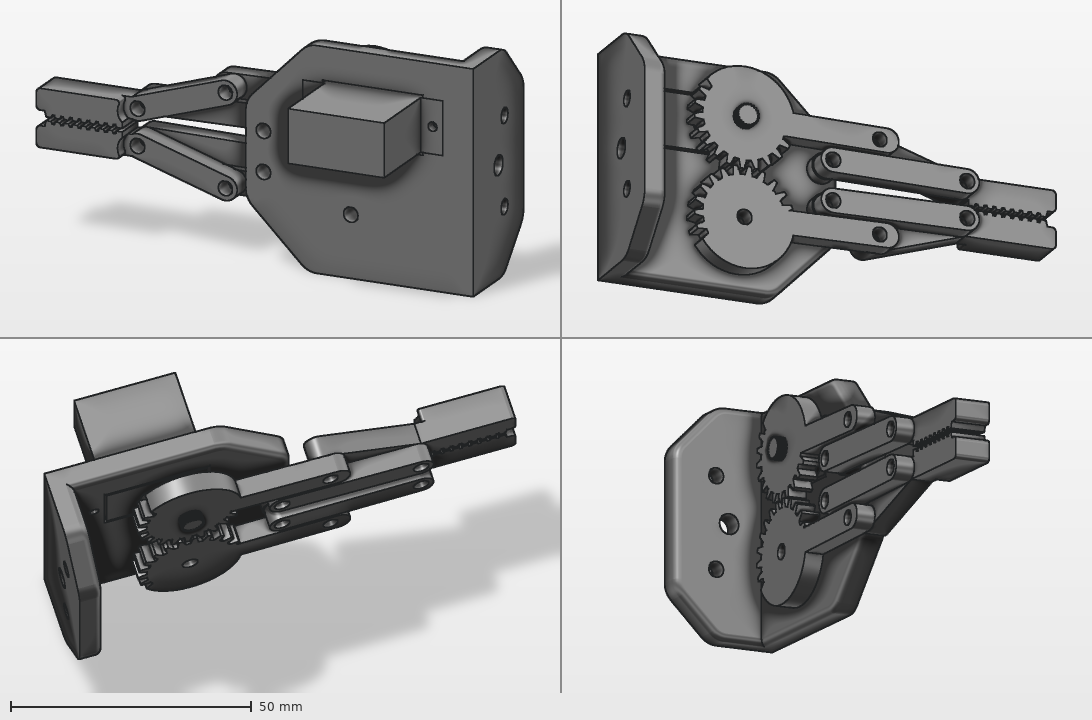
import cadquery as cq
import math

plate_thickness = 5.0
finger_arm_front = 3.0
link_front = 7.8
link_back = 12.0

gear_x, gear_z = 72.0, 11.0
link_base_x, link_base_z = 52.0, 4.5
jaw_pivot_x, jaw_pivot_z = 21.8, 4.1
arm_pivot_x, arm_pivot_z = 41.9, 10.5
gear_arm_hole_x = 41.5
gear_arm_end_x = 39.9
arm_radius = 2.7
pivot_hole_diameter = 3.3
arm_hole_diameter = 3.2

select_margin = 0.1

base_left, base_right = 48.0, 100.0
base_half_height = 25.0
wall_top = 25.0
wall_left = base_right - plate_thickness
plate_corner_cut = 14.2
wall_corner_cut = 10.0
base_corner_radius = 5.0
edge_round = 1.5
boss_diameter = 6.0
wall_hole_diameter = 3.4
wall_hole_y, wall_hole_z = 15.5, 10.0
wall_center_hole_diameter = 4.4
wall_center_hole_y = 12.5

servo_length, servo_height = 22.0, 12.0
servo_boss_radius = servo_height / 2
servo_x = gear_x - servo_boss_radius + servo_length / 2
servo_z = gear_z
servo_front = -18.0
flange_length, flange_thickness = 32.0, 2.5
flange_hole_diameter = 2.0
flange_hole_spacing = 27.4
slot_length, slot_height = 23.0, 13.2
side_boss_radius = 2.6
side_boss_offset = 6.0
shaft_end = 14.0
spline_tip_diameter = 4.9
spline_root_diameter = 4.4
spline_teeth = 21
spline_tip_fraction, spline_root_fraction = 0.15, 0.35

gear_tip_radius = 11.3
gear_root_radius = 9.4
gear_pitch = 360 / 22
tooth_tip_half_angle = 2.2
tooth_root_half_angle = 5.2
tooth_count = 12
servo_gear_first_tooth = 27.0

jaw_half_height = 2.4
jaw_top = jaw_pivot_z + jaw_half_height
jaw_bottom = jaw_pivot_z - jaw_half_height
jaw_corner_radius = 1.0
relief_corner_radius = 0.7
jaw_relief_radius = 3.2
jaw_back = jaw_pivot_x - math.sqrt(jaw_relief_radius**2 - jaw_half_height**2)
grip_front_top_x, grip_front_bottom_x = 1.9, 2.3
grip_bottom = 0.4
notch_depth = 0.6
notch_pitch = 2.0
notch_count = 8
first_notch_x = 3.9
notch_mouth_width, notch_floor_width = 1.0, 0.5


def at_y(y):
    """Workplane at depth y whose local axes are X and Z; a negative extrusion runs toward +Y."""
    return cq.Workplane(cq.Plane(origin=(0, y, 0), xDir=(1, 0, 0), normal=(0, -1, 0)))


def prism(points, y_start, y_end):
    return at_y(y_start).polyline(points).close().extrude(y_start - y_end)


def cylinder(x, z, diameter, y_start, y_end):
    return at_y(y_start).center(x, z).circle(diameter / 2).extrude(y_start - y_end)


def box(x_center, z_center, length, height, y_start, y_end):
    return at_y(y_start).center(x_center, z_center).rect(length, height).extrude(y_start - y_end)


def round_ended_bar(start, end, y_start, y_end):
    """Bar with full-round ends centred on two (x, z) points."""
    run, rise = end[0] - start[0], end[1] - start[1]
    middle = ((start[0] + end[0]) / 2, (start[1] + end[1]) / 2)
    return (
        at_y(y_start)
        .center(*middle)
        .transformed(rotate=(0, 0, math.degrees(math.atan2(rise, run))))
        .slot2D(math.hypot(run, rise) + 2 * arm_radius, 2 * arm_radius)
        .extrude(y_start - y_end)
    )


def polar(center, radius, degrees):
    angle = math.radians(degrees)
    return (center[0] + radius * math.cos(angle), center[1] + radius * math.sin(angle))


def mirror_down(body):
    return body.mirror("XY")


def make_base():
    h = base_half_height
    plate = prism(
        [
            (base_right, h),
            (base_left + plate_corner_cut, h),
            (base_left, h - plate_corner_cut),
            (base_left, plate_corner_cut - h),
            (base_left + plate_corner_cut, -h),
            (base_right, -h),
        ],
        0,
        plate_thickness,
    )
    plate = plate.edges("|Y and (not >X)").fillet(base_corner_radius)
    wall = (
        cq.Workplane("YZ", origin=(wall_left, 0, 0))
        .polyline(
            [
                (0, h),
                (wall_top - wall_corner_cut, h),
                (wall_top, h - wall_corner_cut),
                (wall_top, wall_corner_cut - h),
                (wall_top - wall_corner_cut, -h),
                (0, -h),
            ]
        )
        .close()
        .extrude(plate_thickness)
    )
    wall = wall.edges("|X and (not <Y)").fillet(base_corner_radius)
    base = plate.union(wall)

    m = select_margin
    inner_corner = cq.selectors.BoxSelector(
        (wall_left - m, plate_thickness - m, -m), (wall_left + m, plate_thickness + m, m)
    )
    plate_face = cq.selectors.BoxSelector(
        (base_left - m, plate_thickness - m, -h - m),
        (wall_left + m, plate_thickness + m, h + m),
        boundingbox=True,
    )
    wall_face = cq.selectors.BoxSelector(
        (wall_left - m, plate_thickness - m, -h - m),
        (wall_left + m, wall_top + m, h + m),
        boundingbox=True,
    )
    base = base.edges((plate_face + wall_face) - inner_corner).fillet(edge_round)

    for x, z in [(link_base_x, link_base_z), (link_base_x, -link_base_z), (gear_x, -gear_z)]:
        base = base.union(cylinder(x, z, boss_diameter, plate_thickness, link_front))
        base = base.cut(cylinder(x, z, pivot_hole_diameter, 0, link_front))

    base = base.cut(box(servo_x, servo_z, slot_length, slot_height, 0, plate_thickness))
    base = base.cut(box(servo_x, servo_z, flange_length, servo_height, 0, flange_thickness))
    for side in (-1, 1):
        hole_x = servo_x + side * flange_hole_spacing / 2
        base = base.cut(cylinder(hole_x, servo_z, flange_hole_diameter, 0, plate_thickness))

    wall_plane = cq.Workplane("YZ", origin=(wall_left, 0, 0))
    screw_places = [(wall_hole_y, wall_hole_z), (wall_hole_y, -wall_hole_z)]
    screw_holes = wall_plane.pushPoints(screw_places).circle(wall_hole_diameter / 2)
    base = base.cut(screw_holes.extrude(plate_thickness))
    center_hole = wall_plane.center(wall_center_hole_y, 0).circle(wall_center_hole_diameter / 2)
    return base.cut(center_hole.extrude(plate_thickness))


def spline_shaft():
    center = (gear_x, gear_z)
    step = 360 / spline_teeth
    points = []
    for index in range(spline_teeth):
        middle = index * step
        points.append(polar(center, spline_root_diameter / 2, middle - spline_root_fraction * step))
        points.append(polar(center, spline_tip_diameter / 2, middle - spline_tip_fraction * step))
        points.append(polar(center, spline_tip_diameter / 2, middle + spline_tip_fraction * step))
        points.append(polar(center, spline_root_diameter / 2, middle + spline_root_fraction * step))
    return prism(points, plate_thickness, shaft_end)


def make_servo():
    servo = box(servo_x, servo_z, servo_length, servo_height, servo_front, plate_thickness)
    flange = box(servo_x, servo_z, flange_length, servo_height, 0, flange_thickness)
    for side in (-1, 1):
        hole_x = servo_x + side * flange_hole_spacing / 2
        flange = flange.cut(cylinder(hole_x, servo_z, flange_hole_diameter, 0, flange_thickness))
    gearbox = cylinder(gear_x, gear_z, 2 * servo_boss_radius, plate_thickness, link_front)
    side_boss = cylinder(gear_x + side_boss_offset, gear_z, 2 * side_boss_radius, plate_thickness, link_front)
    return servo.union(flange).union(gearbox).union(side_boss).union(spline_shaft())


def make_gear_arm(first_tooth, bore_diameter):
    """Arm ending in a gear whose teeth run clockwise from the angle first_tooth."""
    center = (gear_x, gear_z)
    gear = cylinder(gear_x, gear_z, 2 * gear_root_radius, link_front, link_back)

    sector_end = first_tooth + gear_pitch - tooth_tip_half_angle
    sector_root_end = first_tooth + gear_pitch - tooth_root_half_angle
    sector = (
        at_y(link_front)
        .moveTo(*center)
        .lineTo(*polar(center, gear_root_radius, sector_root_end))
        .lineTo(*polar(center, gear_tip_radius, sector_end))
        .threePointArc(
            polar(center, gear_tip_radius, (sector_end + 180) / 2), polar(center, gear_tip_radius, 180)
        )
        .close()
        .extrude(link_front - link_back)
    )
    gear = gear.union(sector)

    for index in range(tooth_count):
        middle = first_tooth - index * gear_pitch
        tooth = [
            center,
            polar(center, gear_root_radius, middle - tooth_root_half_angle),
            polar(center, gear_tip_radius, middle - tooth_tip_half_angle),
            polar(center, gear_tip_radius, middle + tooth_tip_half_angle),
            polar(center, gear_root_radius, middle + tooth_root_half_angle),
        ]
        gear = gear.union(prism(tooth, link_front, link_back))

    arm = round_ended_bar((gear_arm_end_x, arm_pivot_z), center, link_front, link_back)
    gear = gear.union(arm)
    gear = gear.cut(cylinder(gear_x, gear_z, bore_diameter, link_front, link_back))
    return gear.cut(cylinder(gear_arm_hole_x, arm_pivot_z, arm_hole_diameter, link_front, link_back))


def make_link():
    ends = [(jaw_pivot_x, jaw_pivot_z), (link_base_x, link_base_z)]
    link = round_ended_bar(*ends, link_front, link_back)
    for x, z in ends:
        link = link.cut(cylinder(x, z, pivot_hole_diameter, link_front, link_back))
    return link


def make_jaw():
    """Gripping block with a rounded rear relief around the pivot, cut in front of the arm."""

    def block(x_end, y_start, y_end):
        return prism(
            [(0, jaw_bottom), (0, jaw_top), (x_end, jaw_top), (x_end, jaw_bottom)], y_start, y_end
        )

    rear = block(jaw_pivot_x, 0, finger_arm_front)
    relief = cylinder(jaw_pivot_x, jaw_pivot_z, 2 * jaw_relief_radius, 0, finger_arm_front)
    rear = cq.Workplane(rear.cut(relief).solids("<X").val())
    m = select_margin
    top_corner = cq.selectors.BoxSelector(
        (jaw_back - m, -m, jaw_top - m), (jaw_back + m, link_back, jaw_top + m)
    )
    rear = rear.edges("|Y").edges(top_corner).fillet(relief_corner_radius)
    jaw = rear.union(block(jaw_pivot_x, finger_arm_front, link_front))
    jaw = jaw.edges("|Y and <X").fillet(jaw_corner_radius)

    grip = prism(
        [
            (grip_front_bottom_x, grip_bottom),
            (grip_front_top_x, jaw_bottom),
            (jaw_back, jaw_bottom),
            (jaw_back, grip_bottom),
        ],
        0,
        link_front,
    )
    jaw = jaw.union(grip)
    for index in range(notch_count):
        x = first_notch_x + index * notch_pitch
        notch = [
            (x - notch_mouth_width / 2, grip_bottom),
            (x - notch_floor_width / 2, grip_bottom + notch_depth),
            (x + notch_floor_width / 2, grip_bottom + notch_depth),
            (x + notch_mouth_width / 2, grip_bottom),
        ]
        jaw = jaw.cut(prism(notch, 0, link_front))
    return jaw


def make_finger():
    jaw_pivot = (jaw_pivot_x, jaw_pivot_z)
    arm_pivot = (arm_pivot_x, arm_pivot_z)
    arm = round_ended_bar(jaw_pivot, arm_pivot, finger_arm_front, link_front)
    finger = make_jaw().union(arm)
    finger = finger.cut(cylinder(*jaw_pivot, pivot_hole_diameter, finger_arm_front, link_front))
    return finger.cut(cylinder(*arm_pivot, arm_hole_diameter, finger_arm_front, link_front))


base = make_base()
servo = make_servo()
servo_gear = make_gear_arm(servo_gear_first_tooth, spline_tip_diameter)
idler_gear = mirror_down(make_gear_arm(servo_gear_first_tooth - gear_pitch / 2, pivot_hole_diameter))

bodies = [base.val(), servo.val(), servo_gear.val(), idler_gear.val()]
for make_part in (make_link, make_finger):
    part = make_part()
    bodies.append(part.val())
    bodies.append(mirror_down(part).val())

result = cq.Compound.makeCompound(bodies)